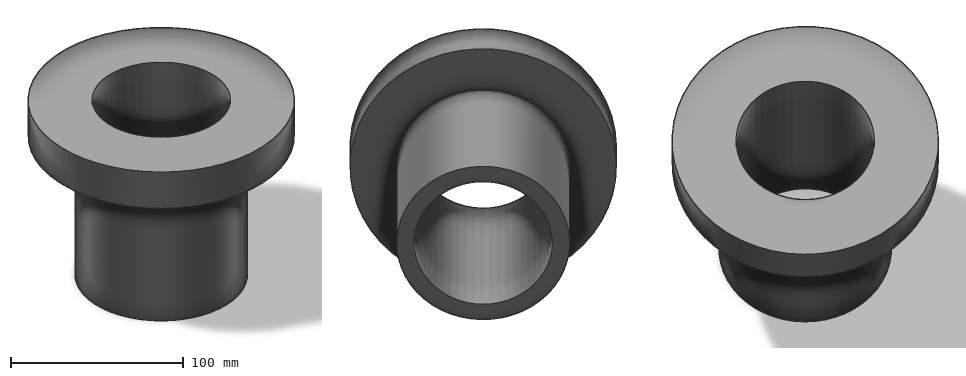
import cadquery as cq

flange_diameter = 154.0
flange_thickness = 25.0
sleeve_diameter = 100.0
bore_diameter = 80.0
total_height = 120.0

sleeve_length = total_height - flange_thickness

sleeve = cq.Workplane("XY").circle(sleeve_diameter / 2).extrude(sleeve_length)

flange = (
    cq.Workplane("XY")
    .workplane(offset=sleeve_length)
    .circle(flange_diameter / 2)
    .extrude(flange_thickness)
)

bore = cq.Workplane("XY").circle(bore_diameter / 2).extrude(total_height)

result = sleeve.union(flange).cut(bore)